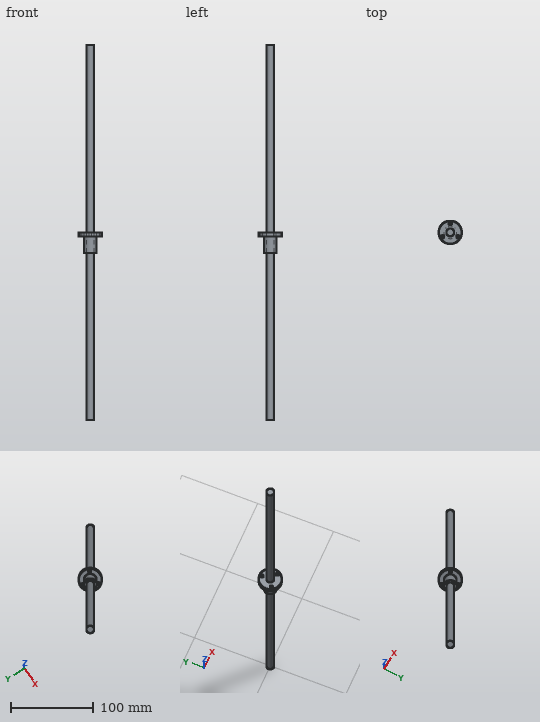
import cadquery as cq

rod_length = 457.0
rod_diameter = 9.5

flange_diameter = 28.5
flange_thickness = 5.0
barrel_diameter = 15.5
nut_height = 25.0
flange_top = 0.0

hole_count = 3
hole_diameter = 3.5
hole_circle_radius = 11.0
first_hole_angle = 90


def make_rod():
    return cq.Workplane("XY").circle(rod_diameter / 2).extrude(rod_length / 2, both=True)


def make_nut():
    flange = (
        cq.Workplane("XY", origin=(0, 0, flange_top))
        .circle(flange_diameter / 2)
        .extrude(-flange_thickness)
    )
    barrel = (
        cq.Workplane("XY", origin=(0, 0, flange_top))
        .circle(barrel_diameter / 2)
        .extrude(-nut_height)
    )
    bore = (
        cq.Workplane("XY", origin=(0, 0, flange_top))
        .circle(rod_diameter / 2)
        .extrude(-nut_height)
    )
    mounting_holes = (
        cq.Workplane("XY", origin=(0, 0, flange_top))
        .polarArray(hole_circle_radius, first_hole_angle, 360, hole_count)
        .circle(hole_diameter / 2)
        .extrude(-flange_thickness)
    )
    return flange.union(barrel).cut(bore).cut(mounting_holes)


rod = make_rod()
nut = make_nut()

result = cq.Compound.makeCompound([rod.val(), nut.val()])